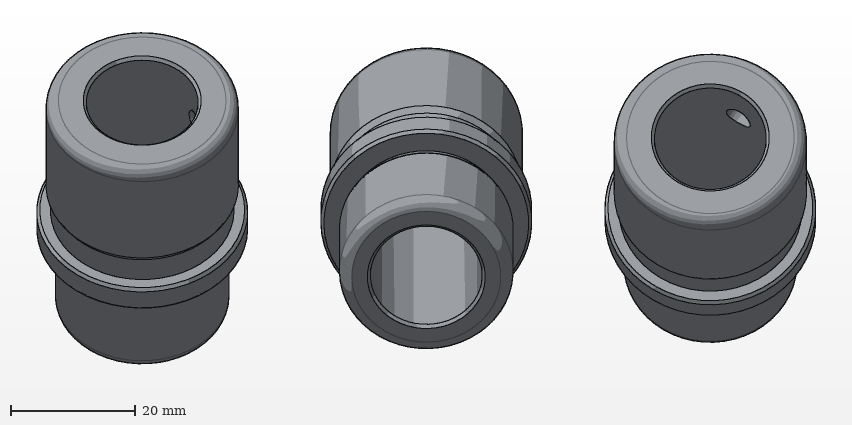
import cadquery as cq

length = 50.0
bore_radius = 9.0
bore_chamfer = 0.5

head_radius = 15.5
head_bottom = 29.15
edge_round = 2.0

neck_radius = 14.8
neck_top = 27.9

flange_radius = 17.0
flange_bottom = 18.0
flange_top = 23.0
flange_chamfer = 0.5

spigot_radius = 14.0
relief_radius = 13.3
relief_height = 2.0
relief_depth = spigot_radius - relief_radius
relief_arc_radius = (relief_height**2 + relief_depth**2) / (2 * relief_depth)

hole_diameter = 4.5
hole_height = 41.0


def turned_body():
    """Solid of revolution about Z, including the flange, relief and neck."""
    profile = (
        cq.Workplane("XZ")
        .moveTo(0, 0)
        .lineTo(spigot_radius, 0)
        .lineTo(spigot_radius, flange_bottom - relief_height)
        .radiusArc((relief_radius, flange_bottom), relief_arc_radius)
        .lineTo(flange_radius - flange_chamfer, flange_bottom)
        .lineTo(flange_radius, flange_bottom + flange_chamfer)
        .lineTo(flange_radius, flange_top - flange_chamfer)
        .lineTo(flange_radius - flange_chamfer, flange_top)
        .lineTo(neck_radius, flange_top)
        .lineTo(neck_radius, neck_top)
        .lineTo(head_radius, head_bottom)
        .lineTo(head_radius, length)
        .lineTo(0, length)
        .close()
    )
    body = profile.revolve(360, (0, 0, 0), (0, 1, 0))
    return body.faces("<Z or >Z").edges().fillet(edge_round)


def cut_bore(body):
    """Through bore with a chamfer at both mouths."""
    bored = body.cut(cq.Workplane("XY").circle(bore_radius).extrude(length))
    mouth_edges = cq.selectors.RadiusNthSelector(0)
    return bored.faces("<Z or >Z").edges(mouth_edges).chamfer(bore_chamfer)


def radial_hole():
    """Cylinder from the axis out past the +Y side of the head."""
    return (
        cq.Workplane("XZ")
        .center(0, hole_height)
        .circle(hole_diameter / 2)
        .extrude(-flange_radius)
    )


result = cut_bore(turned_body()).cut(radial_hole())